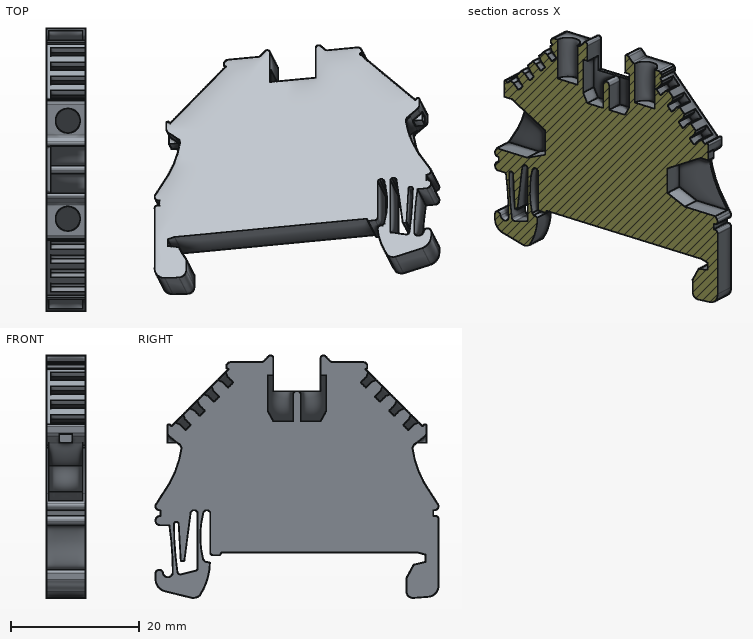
import cadquery as cq
import math


thickness = 6.1
height = 37.7
half_length = 22.0

waist_z = 12.75
waist_y = 21.2
notch_top_z = 13.65
rail_face_z = 7.05

side_wall = 0.7

slot_half_width = 3.65
slot_floor_z = 32.15
tower_top_z = 36.7
tower_side_y = 10.95

recess_half_width = 4.55
recess_top_z = 34.6
recess_slope_top_z = 29.05
recess_slope_end_y = 3.7
recess_floor_z = 27.5
bar_radius = 0.6

shoulder_angle = 45.0
shoulder_sum = 46.2
shoulder_top_y = 10.65
shoulder_end_y = 19.5
lip_y = 20.15

groove_count = 4
first_groove_y = 11.7
groove_pitch_y = 2.2
groove_mouth = 1.75
groove_inner = 1.15
groove_mouth_depth = 0.7
groove_depth = 2.0

screw_x = 3.35
screw_y = 7.6
screw_diameter = 3.85
screw_depth = 6.6

funnel_near_x = 0.4
funnel_far_x = 5.65
funnel_floor_z = 15.1
funnel_ramp_y = 15.55
funnel_end_y = 12.1
funnel_ramp_top_z = 16.5
funnel_roof_z = 20.6
funnel_mouth_top = (18.6, 24.1)

lug_near_x = 2.02
lug_far_x = 4.0
lug_top_z = 25.5
lug_bottom_z = 24.1

bead_z = 6.65
spring_slot_y = -13.5
slot_top_z = 13.65
slot_corner = 0.3
slot_corner_z = slot_top_z - slot_corner
latch_toe = (spring_slot_y, 5.5)


def extrude_yz(outline, x_start=0.0, x_end=thickness):
    """Extrude a closed YZ outline between two X positions."""
    return outline.close().extrude(x_end - x_start).translate((x_start, 0, 0))


def start_at(point):
    """Begin a YZ outline at the given (Y, Z) point."""
    return cq.Workplane("YZ").moveTo(*point)


def both_sides(solid):
    """Combine a +Y solid with its mirror image on the -Y side."""
    return solid.union(solid.mirror("XZ"))


def housing():
    """Upper body with the marker slot, screw towers, shoulders and concave ends."""
    crest_back_angle = 45.0
    crest_radius = 0.45
    crest_diagonal = crest_radius * math.cos(math.radians(crest_back_angle))
    crest_center_y = slot_half_width + crest_radius
    crest_center_z = height - crest_radius
    crest_back_top = (crest_center_y + crest_diagonal, crest_center_z + crest_diagonal)
    crest_back_bottom = (5.15, 36.85)
    crest_blend_mid = (5.3, 36.75)
    crest_blend_end = (5.45, tower_top_z)
    tower_round_start = (10.2, tower_top_z)
    tower_round_mid = (10.45, 36.65)
    tower_round_end = (10.75, 36.5)
    tower_side_top_z = 36.2
    tower_side_bottom_z = 35.75
    lip_top = (19.8, 27.0)
    lip_round_mid = (20.05, 26.95)
    lip_round_end = (lip_y, 26.65)
    lip_under_start = (lip_y, 25.7)
    lip_under_mid = (20.05, 25.45)
    lip_under_end = (19.85, 25.12)
    throat_top = (18.15, 23.75)
    throat_bottom = (17.95, 23.3)
    throat_curve_mid = (18.95, 19.6)
    throat_curve_end = (20.8, 16.3)
    nose_start = (21.82, 14.7)
    nose_tip = (half_length, 14.25)
    nose_root = (21.4, notch_top_z)

    half = (
        start_at((0, waist_z))
        .lineTo(0, slot_floor_z)
        .lineTo(slot_half_width, slot_floor_z)
        .lineTo(slot_half_width, crest_center_z)
        .threePointArc((crest_center_y, height), crest_back_top)
        .lineTo(*crest_back_bottom)
        .threePointArc(crest_blend_mid, crest_blend_end)
        .lineTo(*tower_round_start)
        .threePointArc(tower_round_mid, tower_round_end)
        .lineTo(tower_side_y, tower_side_top_z)
        .lineTo(tower_side_y, tower_side_bottom_z)
        .lineTo(shoulder_top_y, shoulder_sum - shoulder_top_y)
        .lineTo(shoulder_end_y, shoulder_sum - shoulder_end_y)
        .lineTo(*lip_top)
        .threePointArc(lip_round_mid, lip_round_end)
        .lineTo(*lip_under_start)
        .threePointArc(lip_under_mid, lip_under_end)
        .lineTo(*throat_top)
        .lineTo(*throat_bottom)
        .threePointArc(throat_curve_mid, throat_curve_end)
        .lineTo(*nose_start)
        .threePointArc(nose_tip, nose_root)
        .lineTo(waist_y, notch_top_z)
        .lineTo(waist_y, waist_z)
    )
    return both_sides(extrude_yz(half))


def base():
    """Rail foot on the +Y side and latch on the -Y side, before the spring slots are cut."""
    foot_shoulder = (21.6, waist_z)
    foot_shoulder_mid = (21.85, 12.65)
    foot_shoulder_end = (half_length, 12.25)
    foot_heel_start = (half_length, 2.05)
    foot_heel_mid = (21.5, 0.7)
    foot_heel_end = (20.4, 0.18)
    foot_sole_end = (18.15, 0)
    foot_toe_mid = (17.3, 0.3)
    foot_toe_end = (17.0, 1.15)
    foot_tip_z = 3.1
    foot_tip_top = (18.15, 5.2)
    rail_groove_bottom = (19.95, 5.65)
    rail_groove_top_z = 6.75
    rail_groove_end_y = 18.85
    bead_start = (-11.75, rail_face_z)
    bead_low_start = (-11.95, bead_z)
    bead_low_end = (-13.1, bead_z)
    bead_corner_mid = (-13.38, 6.78)
    latch_front_mid = (-14.1, 2.4)
    latch_front_end = (-15.1, 0.4)
    latch_sole_mid = (-15.6, 0.1)
    latch_sole_start = (-16.3, 0)
    latch_heel_start = (-20.6, 1.05)
    latch_heel_mid = (-21.65, 1.85)
    latch_heel_end = (-half_length, 2.95)
    hook_outer = (-half_length, 3.85)
    hook_tip = (-21.4, 4.4)
    hook_inner = (-20.8, 3.9)
    hook_valley = (-20.05, 3.25)
    hook_root = (-19.3, 3.9)
    back_leg_mid = (-19.45, 7.6)
    back_leg_top = (-19.85, 11.3)
    end_bead_bottom_z = 11.3
    end_bead_radius = (waist_z - end_bead_bottom_z) / 2
    end_bead_y = end_bead_radius - half_length
    end_bead_lower = (end_bead_y, end_bead_bottom_z)
    end_bead_tip = (-half_length, end_bead_bottom_z + end_bead_radius)
    end_bead_upper = (end_bead_y, waist_z)

    outline = (
        start_at((waist_y, waist_z))
        .lineTo(*foot_shoulder)
        .threePointArc(foot_shoulder_mid, foot_shoulder_end)
        .lineTo(*foot_heel_start)
        .threePointArc(foot_heel_mid, foot_heel_end)
        .lineTo(*foot_sole_end)
        .threePointArc(foot_toe_mid, foot_toe_end)
        .lineTo(foot_toe_end[0], foot_tip_z)
        .lineTo(*foot_tip_top)
        .lineTo(*rail_groove_bottom)
        .lineTo(rail_groove_bottom[0], rail_groove_top_z)
        .lineTo(rail_groove_end_y, rail_face_z)
        .lineTo(*bead_start)
        .lineTo(*bead_low_start)
        .lineTo(*bead_low_end)
        .threePointArc(bead_corner_mid, (spring_slot_y, rail_face_z))
        .lineTo(*latch_toe)
        .threePointArc(latch_front_mid, latch_front_end)
        .threePointArc(latch_sole_mid, latch_sole_start)
        .lineTo(*latch_heel_start)
        .threePointArc(latch_heel_mid, latch_heel_end)
        .lineTo(*hook_outer)
        .threePointArc(hook_tip, hook_inner)
        .threePointArc(hook_valley, hook_root)
        .threePointArc(back_leg_mid, back_leg_top)
        .lineTo(*end_bead_lower)
        .threePointArc(end_bead_tip, end_bead_upper)
        .lineTo(-waist_y, waist_z)
    )
    return extrude_yz(outline)


def spring_slot():
    """Slot open at the bottom, between the base and the bowed front spring leg."""
    outer_corner = (-14.5, slot_corner_z)
    leg_bow = (-15.0, 9.7)
    leg_bottom = (-14.55, 6.0)
    leg_foot = (-14.25, 5.68)
    outline = (
        start_at(latch_toe)
        .lineTo(spring_slot_y, slot_corner_z)
        .lineTo(spring_slot_y - slot_corner, slot_top_z)
        .lineTo(outer_corner[0] + slot_corner, slot_top_z)
        .lineTo(*outer_corner)
        .threePointArc(leg_bow, leg_bottom)
        .lineTo(*leg_foot)
    )
    return extrude_yz(outline)


def spring_window():
    """U-shaped through window around the tapered tongue, between the two spring legs."""
    front_y = -15.5
    tongue_root = (-16.5, slot_corner_z)
    tongue_front = (-17.45, 5.9)
    tongue_back = (-18.1, 5.9)
    tongue_tip_z = 5.7
    tongue_tip_chamfer = 0.1
    back_top_start = (-18.4, 11.5)
    back_top_mid = (-18.75, 11.85)
    back_top_end = (-19.1, 11.5)
    back_leg_mid = (-18.95, 7.85)
    back_leg_end = (-18.55, 4.15)
    floor_back_mid = (-18.4, 3.8)
    floor_back = (-18.05, 3.7)
    floor_front = (-15.7, 4.25)
    front_corner_z = 4.45

    outline = (
        start_at((front_y, front_corner_z))
        .lineTo(front_y, slot_corner_z)
        .lineTo(front_y - slot_corner, slot_top_z)
        .lineTo(tongue_root[0] + slot_corner, slot_top_z)
        .lineTo(*tongue_root)
        .lineTo(*tongue_front)
        .lineTo(tongue_front[0] - tongue_tip_chamfer, tongue_tip_z)
        .lineTo(tongue_back[0] + tongue_tip_chamfer, tongue_tip_z)
        .lineTo(*tongue_back)
        .lineTo(*back_top_start)
        .threePointArc(back_top_mid, back_top_end)
        .threePointArc(back_leg_mid, back_leg_end)
        .threePointArc(floor_back_mid, floor_back)
        .lineTo(*floor_front)
    )
    return extrude_yz(outline)


def marker_recess():
    """Undercut pocket in the slot, open at +X, with a round-topped bar left standing in its middle."""
    half = (
        start_at((0, recess_floor_z))
        .lineTo(0, recess_top_z)
        .lineTo(recess_half_width, recess_top_z)
        .lineTo(recess_half_width, recess_slope_top_z)
        .lineTo(recess_slope_end_y, recess_floor_z)
    )
    pocket = both_sides(extrude_yz(half, side_wall))
    bar_center_z = slot_floor_z - bar_radius
    bar = (
        start_at((-bar_radius, recess_floor_z))
        .lineTo(-bar_radius, bar_center_z)
        .threePointArc((0, slot_floor_z), (bar_radius, bar_center_z))
        .lineTo(bar_radius, recess_floor_z)
    )
    return pocket.cut(extrude_yz(bar, side_wall))


def finger_groove(center_y):
    """Flared groove cut square to the 45 degree shoulder and centred at the given Y; open at +X."""
    mouth_half = groove_mouth / 2
    inner_half = groove_inner / 2
    profile = [
        (-mouth_half, 0),
        (-inner_half, -groove_mouth_depth),
        (-inner_half, -groove_depth),
        (inner_half, -groove_depth),
        (inner_half, -groove_mouth_depth),
        (mouth_half, 0),
    ]
    groove = (
        cq.Workplane("YZ")
        .polyline(profile)
        .close()
        .extrude(thickness - side_wall)
        .rotate((0, 0, 0), (1, 0, 0), -shoulder_angle)
    )
    return groove.translate((side_wall, center_y, shoulder_sum - center_y))


def screw_hole():
    """Blind vertical hole in the top of the +Y tower."""
    hole = cq.Workplane("XY").circle(screw_diameter / 2).extrude(screw_depth)
    return hole.translate((screw_x, screw_y, tower_top_z - screw_depth))


def wire_funnel():
    """Tapered wire entry that opens through the concave end face."""
    outline = (
        start_at((half_length, funnel_floor_z))
        .lineTo(funnel_ramp_y, funnel_floor_z)
        .lineTo(funnel_end_y, funnel_ramp_top_z)
        .lineTo(funnel_end_y, funnel_roof_z)
        .lineTo(*funnel_mouth_top)
        .lineTo(half_length, funnel_mouth_top[1])
    )
    return extrude_yz(outline, funnel_near_x, funnel_far_x)


def lug():
    """Small triangular lug that fills the corner under the lip, above the funnel mouth."""
    outline = (
        start_at((lip_y, lug_top_z))
        .lineTo(lip_y, lug_bottom_z)
        .lineTo(funnel_mouth_top[0], lug_bottom_z)
    )
    return extrude_yz(outline, lug_near_x, lug_far_x)


body = housing().union(base())
body = body.cut(spring_slot()).cut(spring_window()).cut(marker_recess())

for i in range(groove_count):
    body = body.cut(both_sides(finger_groove(first_groove_y + i * groove_pitch_y)))

body = body.cut(both_sides(screw_hole()))
body = body.cut(both_sides(wire_funnel()))
result = body.union(both_sides(lug()))